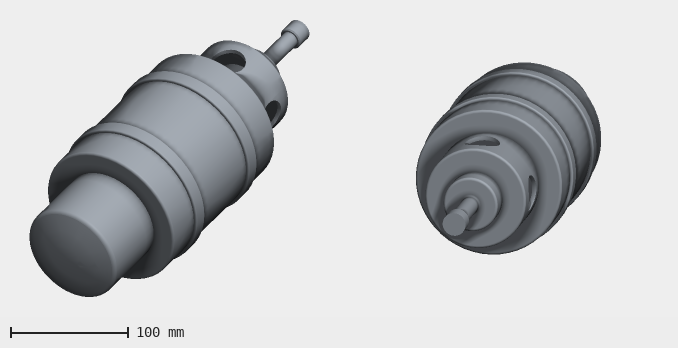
import cadquery as cq
import math

TOTAL_LENGTH = 368.0

PLUNGER_RADIUS = 43.8
PLUNGER_BACK = 202.5
DOME_HEIGHT = 8.5
DOME_RADIUS_AT_RIM = 41.2
DOME_SHOULDER = 12.5
ROD_RADIUS = 23.5
ROD_BACK = 303.2
STEM_RADIUS = 7.5
STEM_FILLET = 2.0
BUTTON_RADIUS = 10.0
BUTTON_LENGTH = 15.0
BUTTON_CHAMFER = 1.0

SLEEVE_RADIUS = 63.5
SLEEVE_FRONT = 70.0
SLEEVE_BACK = 230.0
NECK_RADIUS = PLUNGER_RADIUS
NECK_BACK = 283.0
EDGE_ROUND = 2.2

COLLAR_DIAMETER = 133.0
COLLAR_WIDTH = 13.2
COLLAR_FRONTS = (102.3, 184.5)
COLLAR_ROUND = 1.5

WINDOW_RADIUS = 15.0
WINDOW_STATION = 255.5
WINDOW_COUNT = 4
CAVITY_RADIUS = 40.0
CAVITY_BACK = 276.0


def cylinder(radius, front, back):
    """Solid cylinder about the Y axis between two stations."""
    return cq.Workplane("XZ", origin=(0, front, 0)).circle(radius).extrude(front - back)


def make_collar(front):
    """Raised band around the sleeve with rounded outer edges."""
    band = cylinder(COLLAR_DIAMETER / 2, front, front + COLLAR_WIDTH)
    return band.edges().fillet(COLLAR_ROUND)


def cut_windows(body):
    """Cut the radial windows, evenly spaced around the neck."""
    window_plane = cq.Workplane("XY", origin=(0, WINDOW_STATION, 0))
    window = window_plane.circle(WINDOW_RADIUS).extrude(SLEEVE_RADIUS)
    for index in range(WINDOW_COUNT):
        angle = index * 360 / WINDOW_COUNT
        body = body.cut(window.rotate((0, 0, 0), (0, 1, 0), angle))
    return body


def make_housing():
    """Sleeve, neck and collars, bored for the plunger, the cavity and the rod."""
    sleeve = cylinder(SLEEVE_RADIUS, SLEEVE_FRONT, SLEEVE_BACK).edges().fillet(EDGE_ROUND)
    neck = cylinder(NECK_RADIUS, SLEEVE_FRONT, NECK_BACK).faces(">Y").edges().fillet(EDGE_ROUND)
    body = sleeve.union(neck)
    for front in COLLAR_FRONTS:
        body = body.union(make_collar(front))

    plunger_bore = cylinder(PLUNGER_RADIUS, SLEEVE_FRONT, PLUNGER_BACK)
    cavity = cylinder(CAVITY_RADIUS, PLUNGER_BACK, CAVITY_BACK)
    rod_hole = cylinder(ROD_RADIUS, CAVITY_BACK, NECK_BACK)
    return cut_windows(body.cut(plunger_bore).cut(cavity).cut(rod_hole))


def make_plunger():
    """Domed cylinder whose rim is rounded between the dome and the side."""
    sphere_radius = (DOME_RADIUS_AT_RIM**2 + DOME_HEIGHT**2) / (2 * DOME_HEIGHT)
    half_angle = math.asin(DOME_RADIUS_AT_RIM / sphere_radius) / 2
    dome_middle = (sphere_radius * math.sin(half_angle), sphere_radius * (1 - math.cos(half_angle)))
    return (
        cq.Workplane("XY")
        .threePointArc(dome_middle, (DOME_RADIUS_AT_RIM, DOME_HEIGHT))
        .tangentArcPoint((PLUNGER_RADIUS, DOME_SHOULDER), relative=False)
        .lineTo(PLUNGER_RADIUS, PLUNGER_BACK)
        .lineTo(0, PLUNGER_BACK)
        .close()
        .revolve(360, (0, 0, 0), (0, 1, 0))
    )


def make_rod():
    """Rod and stem, with the stem root blended into the rounded rod end."""
    rod = cylinder(ROD_RADIUS, PLUNGER_BACK, ROD_BACK).faces(">Y").edges().fillet(EDGE_ROUND)
    stem = cylinder(STEM_RADIUS, ROD_BACK, TOTAL_LENGTH)
    rod_end = cq.selectors.NearestToPointSelector((0, ROD_BACK, 0))
    stem_root = cq.selectors.RadiusNthSelector(0)
    return rod.union(stem).faces(rod_end).edges(stem_root).fillet(STEM_FILLET)


def make_shaft():
    button = cylinder(BUTTON_RADIUS, TOTAL_LENGTH - BUTTON_LENGTH, TOTAL_LENGTH)
    button = button.faces("<Y").edges().chamfer(BUTTON_CHAMFER)
    return make_plunger().union(make_rod()).union(button)


housing = make_housing()
shaft = make_shaft()
result = cq.Compound.makeCompound([housing.val(), shaft.val()])